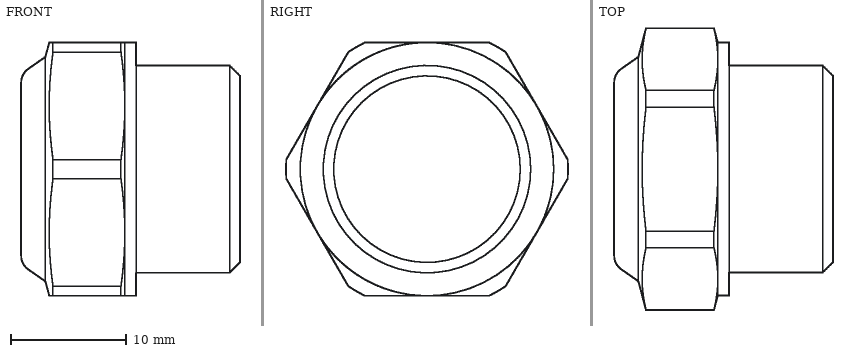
import cadquery as cq
import math

total_length = 19.0
hex_flats = 22.0
corner_radius = 12.25
hex_start = 2.1
hex_end = 9.01
collar_end = 10.0
corner_chamfer_angle = 15.0
shank_radius = 18.0 / 2
shank_chamfer = 0.9
nose_base_radius = 9.75
nose_slope = 35.0
rim_radius = 7.5
recess_floor_radius = 6.1
recess_depth = 1.15

collar_radius = hex_flats / 2
chamfer_slope = math.tan(math.radians(corner_chamfer_angle))
front_chamfer = (corner_radius - nose_base_radius) * chamfer_slope
rear_chamfer = (corner_radius - collar_radius) * chamfer_slope

recess_width = rim_radius - recess_floor_radius
recess_arc = (recess_width**2 + recess_depth**2) / (2 * recess_depth)
recess_arc_angle = math.acos(1 - recess_depth / recess_arc)

slope = math.radians(nose_slope)
cone_radius_at_rim = nose_base_radius - hex_start * math.tan(slope)
rim_arc = (cone_radius_at_rim - rim_radius) * math.cos(slope) / (1 - math.sin(slope))


def rim_point(arc_radius, angle):
    """Point on a rim arc, turned from the crest outward (or inward if the angle is negative)."""
    return (arc_radius * (1 - math.cos(angle)), rim_radius + arc_radius * math.sin(angle))


def hex_body():
    """Hexagon with its corners turned down and chamfered at both ends."""
    turned_blank = (
        cq.Workplane("XY")
        .moveTo(hex_start, 0)
        .lineTo(hex_start, nose_base_radius)
        .lineTo(hex_start + front_chamfer, corner_radius)
        .lineTo(hex_end - rear_chamfer, corner_radius)
        .lineTo(hex_end, collar_radius)
        .lineTo(hex_end, 0)
        .close()
        .revolve(360, (0, 0, 0), (1, 0, 0))
    )
    across_corners = hex_flats / math.cos(math.pi / 6)
    hexagon = cq.Workplane("YZ").polygon(6, across_corners).extrude(total_length)
    return turned_blank.intersect(hexagon)


def nose():
    """Conical nose with a rounded rim around a shallow flat-bottomed recess."""
    arc_end_angle = math.pi / 2 - slope
    return (
        cq.Workplane("XY")
        .moveTo(recess_depth, 0)
        .lineTo(recess_depth, recess_floor_radius)
        .threePointArc(rim_point(recess_arc, -recess_arc_angle / 2), (0, rim_radius))
        .threePointArc(rim_point(rim_arc, arc_end_angle / 2), rim_point(rim_arc, arc_end_angle))
        .lineTo(hex_start, nose_base_radius)
        .lineTo(hex_start, 0)
        .close()
        .revolve(360, (0, 0, 0), (1, 0, 0))
    )


def collar():
    return cq.Workplane("YZ", origin=(hex_end, 0, 0)).circle(collar_radius).extrude(collar_end - hex_end)


def shank():
    """Cylindrical shank with a chamfered free end."""
    return (
        cq.Workplane("YZ", origin=(collar_end, 0, 0))
        .circle(shank_radius)
        .extrude(total_length - collar_end)
        .faces(">X")
        .chamfer(shank_chamfer)
    )


result = hex_body().union(nose()).union(collar()).union(shank())